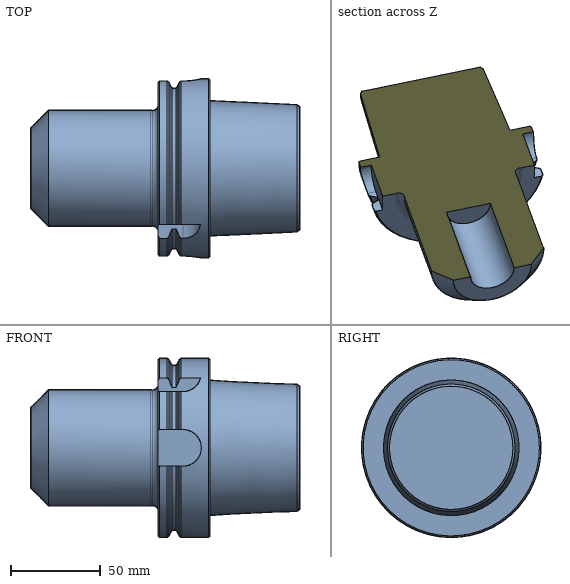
import cadquery as cq
import math

total_length = 150.0
body_radius = 65.0 / 2
nose_chamfer_length = 9.9
nose_chamfer_radius = 22.8
nose_edge_break = 0.3
bore_diameter = 25.0
bore_depth = 50.0

relief_depth = 0.2
relief_start_x = 66.9
relief_arc_x = 68.0
relief_outer_radius = 36.6

flange_front_x = 71.0
flange_back_x = 100.0
flange_radius = 100.0 / 2
flange_chamfer = 0.9

groove_mid_x = 80.0
groove_floor_radius = 46.0
groove_floor_half = 1.0
groove_flank_inner_half = 2.0
groove_flank_inner_radius = 47.4
groove_flank_outer_half = 2.8
groove_flank_outer_radius = 49.2
groove_crest_half = 3.9

shank_root_radius = 37.8
shank_tip_radius = 35.5
shank_tip_chamfer_length = 1.6
shank_tip_chamfer_height = 1.2

slot_floor_offset = 44.0
slot_end_x = 95.1
near_slot_width = 20.4
far_slot_width = 22.4
far_slot_corner_radius = 10.0
notch_offset = 31.4
notch_corner_radius = 10.0
notch_arc_start_x = 84.9
cut_clearance = 7.5
slot_cut_height = flange_radius - slot_floor_offset + cut_clearance


def make_turned_body():
    relief_radius = body_radius - relief_depth
    relief_face_x = flange_front_x + relief_depth
    relief_arc_radius = relief_face_x - relief_arc_x
    relief_arc_center_radius = relief_radius + relief_arc_radius
    relief_arc_middle = (
        relief_arc_x + relief_arc_radius * math.sin(math.radians(45)),
        relief_arc_center_radius - relief_arc_radius * math.cos(math.radians(45)),
    )
    rim_radius = flange_radius - flange_chamfer
    profile = (
        cq.Workplane("XY")
        .moveTo(0, 0)
        .lineTo(0, nose_chamfer_radius - nose_edge_break)
        .lineTo(nose_edge_break, nose_chamfer_radius)
        .lineTo(nose_chamfer_length, body_radius)
        .lineTo(relief_start_x, body_radius)
        .lineTo(relief_arc_x, relief_radius)
        .threePointArc(relief_arc_middle, (relief_face_x, relief_arc_center_radius))
        .lineTo(flange_front_x, relief_outer_radius)
        .lineTo(flange_front_x, rim_radius)
        .lineTo(flange_front_x + flange_chamfer, flange_radius)
        .lineTo(groove_mid_x - groove_crest_half, flange_radius)
        .lineTo(groove_mid_x - groove_flank_outer_half, groove_flank_outer_radius)
        .lineTo(groove_mid_x - groove_flank_inner_half, groove_flank_inner_radius)
        .lineTo(groove_mid_x - groove_floor_half, groove_floor_radius)
        .lineTo(groove_mid_x + groove_floor_half, groove_floor_radius)
        .lineTo(groove_mid_x + groove_flank_inner_half, groove_flank_inner_radius)
        .lineTo(groove_mid_x + groove_flank_outer_half, groove_flank_outer_radius)
        .lineTo(groove_mid_x + groove_crest_half, flange_radius)
        .lineTo(flange_back_x - flange_chamfer, flange_radius)
        .lineTo(flange_back_x, rim_radius)
        .lineTo(flange_back_x, shank_root_radius)
        .lineTo(total_length - shank_tip_chamfer_length, shank_tip_radius)
        .lineTo(total_length, shank_tip_radius - shank_tip_chamfer_height)
        .lineTo(total_length, 0)
        .close()
    )
    return profile.revolve(360, (0, 0, 0), (1, 0, 0))


def make_bore():
    return cq.Workplane("YZ").circle(bore_diameter / 2).extrude(bore_depth)


def slot_workplane(side):
    """Plane of a drive slot floor, facing outward on the +Y (side=1) or -Y (side=-1) flank."""
    return cq.Workplane(cq.Plane((0, side * slot_floor_offset, 0), (1, 0, 0), (0, side, 0)))


def make_near_slot():
    """Slot on the -Y flank whose closed end is a full half round."""
    half_width = near_slot_width / 2
    open_x = flange_front_x - cut_clearance
    arc_x = slot_end_x - half_width
    return (
        slot_workplane(-1)
        .moveTo(open_x, -half_width)
        .lineTo(arc_x, -half_width)
        .threePointArc((slot_end_x, 0), (arc_x, half_width))
        .lineTo(open_x, half_width)
        .close()
        .extrude(slot_cut_height)
    )


def make_far_slot():
    """Slot on the +Y flank whose closed end is flat between two rounded corners."""
    length = slot_end_x - flange_front_x + cut_clearance
    return (
        slot_workplane(1)
        .center(slot_end_x - length / 2, 0)
        .rect(length, far_slot_width)
        .extrude(slot_cut_height)
        .edges(">X and |Y")
        .fillet(far_slot_corner_radius)
    )


def make_notch():
    """Corner notch open toward -Y and +Z; its floor runs out upward in a quarter round."""
    end_x = notch_arc_start_x + notch_corner_radius
    length = end_x - flange_front_x + cut_clearance
    depth = flange_radius - notch_offset
    block = cq.Workplane("XY").box(length, depth, depth)
    block = block.edges(">X and <Z").fillet(notch_corner_radius)
    middle = notch_offset + depth / 2
    return block.translate((end_x - length / 2, -middle, middle))


result = make_turned_body()
for cutter in (make_bore(), make_near_slot(), make_far_slot(), make_notch()):
    result = result.cut(cutter)